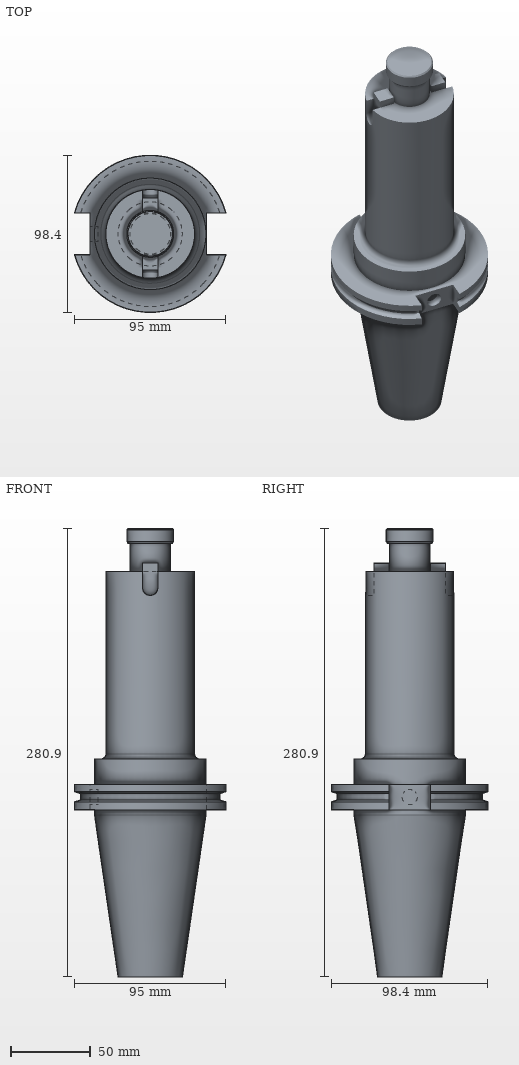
import cadquery as cq
import math


gauge_diameter = 69.85
taper_length = 101.6
taper_per_length = 7 / 24
taper_end_diameter = gauge_diameter - taper_length * taper_per_length

flange_diameter = 98.425
flange_bottom = 3.175
flange_top = 19.05
groove_floor_diameter = 91.0
groove_bottom = 8.1
groove_top = 14.6
groove_flank_height = 1.3

flange_x_size = 94.95
drive_slot_width = math.sqrt(flange_diameter**2 - flange_x_size**2)
near_slot_floor = 35.3
far_slot_floor = 37.7
dimple_diameter = 9.5
dimple_depth = 5.0
dimple_height = (flange_bottom + flange_top) / 2

collar_top = 35.0
body_diameter = 55.56
body_top = 152.4
root_fillet = 3.2
pilot_diameter = 25.4
pilot_length = 17.45

key_width = 9.525
key_projection = 5.2
key_pilot_gap = 0.2
key_inner_distance = pilot_diameter / 2 + key_pilot_gap
key_outer_distance = 22.5
key_seat_depth = 15.0

overall_length = 280.85
screw_top = overall_length - taper_length
screw_bottom = body_top + pilot_length
screw_diameter = 29.4
screw_top_chamfer_height = 0.9
screw_top_chamfer_width = 0.75
screw_bottom_chamfer_height = 1.4
screw_bottom_chamfer_width = 0.9


def make_blank():
    """Turned shape of taper, flange, collar, body and pilot."""
    gauge_radius = gauge_diameter / 2
    flange_radius = flange_diameter / 2
    groove_radius = groove_floor_diameter / 2
    body_radius = body_diameter / 2
    pilot_radius = pilot_diameter / 2
    fillet_slack = root_fillet * (1 - math.sqrt(0.5))
    return (
        cq.Workplane("XZ")
        .moveTo(0, -taper_length)
        .lineTo(taper_end_diameter / 2, -taper_length)
        .lineTo(gauge_radius, 0)
        .lineTo(gauge_radius, flange_bottom)
        .lineTo(flange_radius, flange_bottom)
        .lineTo(flange_radius, groove_bottom)
        .lineTo(groove_radius, groove_bottom + groove_flank_height)
        .lineTo(groove_radius, groove_top - groove_flank_height)
        .lineTo(flange_radius, groove_top)
        .lineTo(flange_radius, flange_top)
        .lineTo(gauge_radius, flange_top)
        .lineTo(gauge_radius, collar_top)
        .lineTo(body_radius + root_fillet, collar_top)
        .threePointArc(
            (body_radius + fillet_slack, collar_top + fillet_slack),
            (body_radius, collar_top + root_fillet),
        )
        .lineTo(body_radius, body_top)
        .lineTo(pilot_radius, body_top)
        .lineTo(pilot_radius, screw_bottom)
        .lineTo(0, screw_bottom)
        .close()
        .revolve()
    )


def make_drive_slot(side, floor):
    """Cutter for one flange slot, open outwards along side (+1 or -1) of X."""
    length = flange_diameter
    return cq.Workplane("XY").box(
        length, drive_slot_width, flange_top - flange_bottom, centered=(True, True, False)
    ).translate((side * (floor + length / 2), 0, flange_bottom))


def make_dimple():
    """Blind round hole in the floor of the -X slot."""
    return (
        cq.Workplane("YZ", origin=(-far_slot_floor, 0, dimple_height))
        .circle(dimple_diameter / 2)
        .extrude(dimple_depth)
    )


def make_key_seats():
    """Cutter for the round-ended seats outside both key end faces."""
    round_radius = key_width / 2
    round_center = body_top - key_seat_depth + round_radius
    seat = (
        cq.Workplane("XZ")
        .moveTo(-round_radius, body_top)
        .lineTo(-round_radius, round_center)
        .threePointArc((0, round_center - round_radius), (round_radius, round_center))
        .lineTo(round_radius, body_top)
        .close()
        .extrude(body_diameter / 2, both=True)
    )
    keep = cq.Workplane("XY").box(
        body_diameter, 2 * key_outer_distance, 2 * body_top, centered=(True, True, False)
    )
    return seat.cut(keep)


def make_keys():
    """Two keys standing on the body top, one on each side of the pilot along Y."""
    key_length = key_outer_distance - key_inner_distance
    key_middle = (key_outer_distance + key_inner_distance) / 2
    return (
        cq.Workplane("XY", origin=(0, 0, body_top))
        .pushPoints([(0, -key_middle), (0, key_middle)])
        .rect(key_width, key_length)
        .extrude(key_projection)
    )


def make_holder():
    holder = make_blank().union(make_keys())
    holder = holder.cut(make_drive_slot(1, near_slot_floor))
    holder = holder.cut(make_drive_slot(-1, far_slot_floor))
    holder = holder.cut(make_dimple())
    return holder.cut(make_key_seats())


def make_screw():
    """Round screw head seated on the end of the pilot."""
    return (
        cq.Workplane("XY", origin=(0, 0, screw_bottom))
        .circle(screw_diameter / 2)
        .extrude(screw_top - screw_bottom)
        .faces(">Z")
        .chamfer(screw_top_chamfer_height, screw_top_chamfer_width)
        .faces("<Z")
        .chamfer(screw_bottom_chamfer_height, screw_bottom_chamfer_width)
    )


holder = make_holder()
screw = make_screw()
result = cq.Compound.makeCompound([holder.val(), screw.val()])